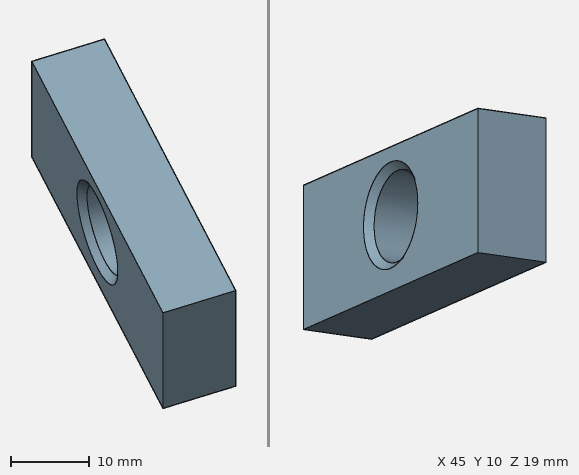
import cadquery as cq

length = 45.0
thickness = 10.0
height = 19.0

hole_diameter = 12.0
mouth_diameter = 14.0
hole_rise = 0.5
chamfer_size = (mouth_diameter - hole_diameter) / 2

block = cq.Workplane("XY").box(length, thickness, height)
drilled = block.faces("<Y").workplane().center(0, hole_rise).hole(hole_diameter)

result = drilled.edges("%CIRCLE").chamfer(chamfer_size)